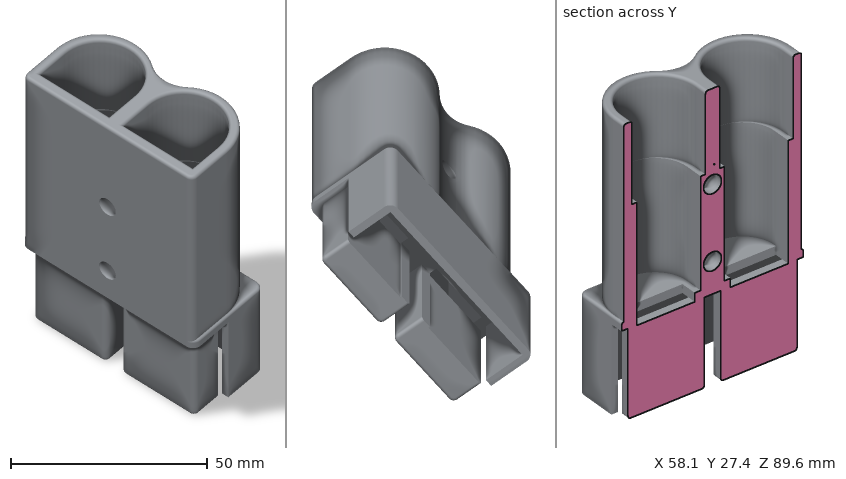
import cadquery as cq
import math

TOTAL_WIDTH = 58.1
TOTAL_DEPTH = 27.4
TOTAL_HEIGHT = 89.6
FRONT_Y = -TOTAL_DEPTH / 2
BACK_Y = TOTAL_DEPTH / 2
MARGIN = 0.9

FLANGE_BOTTOM = 27.3
FLANGE_TOP = 30.0
FLANGE_CORNER_RADIUS = 2.5
FLANGE_EDGE_RADIUS = 0.8

FLANGE_LIP = 0.6
BODY_WIDTH = TOTAL_WIDTH - 2 * FLANGE_LIP
LOBE_RADIUS = 14.0
VALLEY_RADIUS = 9.7
LOBE_X = BODY_WIDTH / 2 - LOBE_RADIUS
LOBE_Y = BACK_Y - LOBE_RADIUS
BODY_CORNER_RADIUS = FLANGE_CORNER_RADIUS - FLANGE_LIP
RIM_RADIUS = 0.9

BORE_X = 14.0
BORE_FRONT_Y = -10.3
MOUTH_RADIUS = 11.65
MOUTH_CENTRE_Y = -0.4
LEDGE_Z = 64.5
LOWER_RADIUS = 10.1
LOWER_CENTRE_Y = 1.1

OPENING_INNER_X = 5.7
OPENING_OUTER_X = BORE_X + LOWER_RADIUS
OPENING_BACK_Y = 0.45

SHROUD_FRONT_Y = -0.4
SHROUD_WALL = 2.15

LEG_INNER_X = 2.5
LEG_OUTER_X = 27.1
LEG_FRONT_Y = -11.3
LEG_BACK_Y = -1.7
LEG_RECESS = 0.45
LEG_CORNER_RADIUS = 1.5
LEG_BOTTOM_RADIUS = 1.0

SCREW_DIAMETER = 5.6
SCREW_HEIGHTS = (37.3, 60.6)


def block(x_min, x_max, y_min, y_max, z_min, z_max):
    """Box given by its limits along each axis."""
    size = (x_max - x_min, y_max - y_min, z_max - z_min)
    return cq.Workplane("XY", origin=(x_min, y_min, z_min)).box(*size, centered=False)


def mirrored_pair(right_half):
    """A shape on the +X side together with its mirror image."""
    return right_half.union(right_half.mirror("YZ"))


def make_shroud_and_flange():
    """Flange plate with the shroud wall hanging from its sides and back."""
    plate = block(-TOTAL_WIDTH / 2, TOTAL_WIDTH / 2, FRONT_Y, BACK_Y, 0, FLANGE_TOP)
    plate = plate.edges("|Z").fillet(FLANGE_CORNER_RADIUS)
    plate = plate.faces(">Z").edges().fillet(FLANGE_EDGE_RADIUS)
    front_space = block(
        -TOTAL_WIDTH, TOTAL_WIDTH, FRONT_Y - MARGIN, SHROUD_FRONT_Y, -MARGIN, FLANGE_BOTTOM
    )
    inner_x = TOTAL_WIDTH / 2 - SHROUD_WALL
    cavity = block(
        -inner_x, inner_x, SHROUD_FRONT_Y - MARGIN, BACK_Y - SHROUD_WALL, -MARGIN, FLANGE_BOTTOM
    )
    return plate.cut(front_space).cut(cavity)


def make_body():
    """Upper body whose two lobes are joined by a tangent valley at the back."""
    half_width = BODY_WIDTH / 2
    centre_distance = LOBE_RADIUS + VALLEY_RADIUS
    valley_centre_y = LOBE_Y + math.sqrt(centre_distance**2 - LOBE_X**2)
    tangent_x = LOBE_X * VALLEY_RADIUS / centre_distance
    tangent_y = LOBE_Y + (valley_centre_y - LOBE_Y) * LOBE_RADIUS / centre_distance
    body = (
        cq.Workplane("XY", origin=(0, 0, FLANGE_TOP - FLANGE_EDGE_RADIUS))
        .moveTo(-half_width, FRONT_Y)
        .lineTo(half_width, FRONT_Y)
        .lineTo(half_width, LOBE_Y)
        .threePointArc((LOBE_X, BACK_Y), (tangent_x, tangent_y))
        .threePointArc((0, valley_centre_y - VALLEY_RADIUS), (-tangent_x, tangent_y))
        .threePointArc((-LOBE_X, BACK_Y), (-half_width, LOBE_Y))
        .close()
        .extrude(TOTAL_HEIGHT - FLANGE_TOP + FLANGE_EDGE_RADIUS)
    )
    front_corners = body.edges("|Z").edges("<Y")
    return front_corners.fillet(BODY_CORNER_RADIUS).faces(">Z").edges().fillet(RIM_RADIUS)


def d_prism(radius, centre_y, z_min, z_max):
    """D-shaped prism for the +X bore: flat front, round back."""
    return (
        cq.Workplane("XY", origin=(BORE_X, 0, z_min))
        .moveTo(-radius, BORE_FRONT_Y)
        .lineTo(radius, BORE_FRONT_Y)
        .lineTo(radius, centre_y)
        .threePointArc((0, centre_y + radius), (-radius, centre_y))
        .close()
        .extrude(z_max - z_min)
    )


def make_bores():
    """Both stepped bores with the contact openings below their floors."""
    mouth = d_prism(MOUTH_RADIUS, MOUTH_CENTRE_Y, LEDGE_Z, TOTAL_HEIGHT)
    lower = d_prism(LOWER_RADIUS, LOWER_CENTRE_Y, FLANGE_TOP, LEDGE_Z)
    opening = block(
        OPENING_INNER_X, OPENING_OUTER_X, BORE_FRONT_Y, OPENING_BACK_Y, FLANGE_BOTTOM, FLANGE_TOP
    )
    return mirrored_pair(mouth.union(lower).union(opening))


def round_bore_rims(part):
    """Round the inner edges of the bore mouths on the top face."""
    rims = [edge for wire in part.faces(">Z").val().innerWires() for edge in wire.Edges()]
    return part.newObject(rims).fillet(RIM_RADIUS)


def make_legs():
    """Pair of rounded legs, recessed at the back except along the inner edge."""
    leg = block(LEG_INNER_X, LEG_OUTER_X, LEG_FRONT_Y, LEG_BACK_Y, 0, FLANGE_BOTTOM)
    leg = leg.edges("|Z and <Y").fillet(LEG_CORNER_RADIUS)
    leg = leg.faces("<Z").edges("not >Y").fillet(LEG_BOTTOM_RADIUS)
    recess = block(
        OPENING_INNER_X, LEG_OUTER_X + MARGIN,
        LEG_BACK_Y - LEG_RECESS, LEG_BACK_Y + MARGIN,
        -MARGIN, FLANGE_BOTTOM,
    )
    return mirrored_pair(leg.cut(recess))


def make_screw_holes():
    """Cylinders along Y, stacked on the centre line."""
    return (
        cq.Workplane("XZ", origin=(0, BACK_Y + MARGIN, 0))
        .pushPoints([(0, height) for height in SCREW_HEIGHTS])
        .circle(SCREW_DIAMETER / 2)
        .extrude(TOTAL_DEPTH + 2 * MARGIN)
    )


housing = make_shroud_and_flange().union(make_body()).union(make_legs())
housing = round_bore_rims(housing.cut(make_bores()))
result = housing.cut(make_screw_holes())